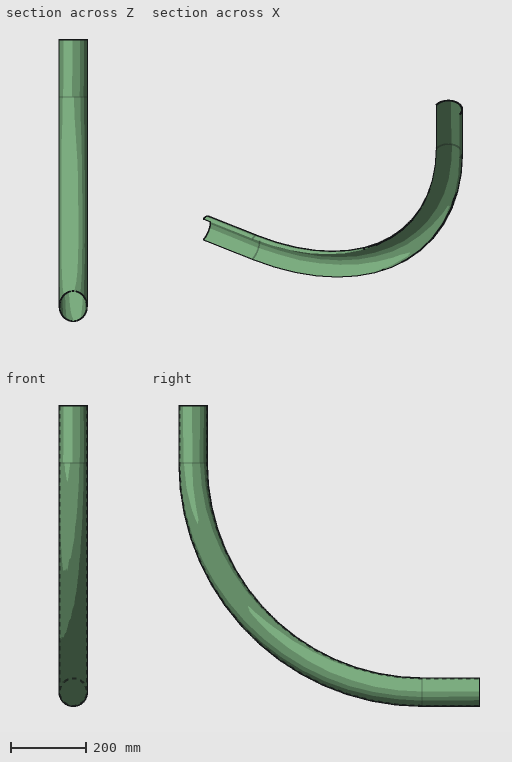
import cadquery as cq
import math

overall_size = 800.0
outer_diameter = 76.0
bore_diameter = 70.5
straight_length = 153.0

outer_radius = outer_diameter / 2
bend_radius = overall_size - outer_radius - straight_length
leg_reach = bend_radius + straight_length
bend_offset = bend_radius * (1 - math.cos(math.radians(45)))


def make_centreline():
    """Vertical leg, quarter bend and horizontal leg, with the leg axes meeting at the origin."""
    return (
        cq.Workplane("YZ")
        .moveTo(0, leg_reach)
        .lineTo(0, bend_radius)
        .threePointArc((bend_offset, bend_offset), (bend_radius, 0))
        .lineTo(leg_reach, 0)
    )


def make_pipe():
    """Sweep the annular pipe section down from the top of the vertical leg."""
    section = (
        cq.Workplane("XY", origin=(0, 0, leg_reach))
        .circle(outer_radius)
        .circle(bore_diameter / 2)
    )
    return section.sweep(make_centreline())


result = make_pipe()